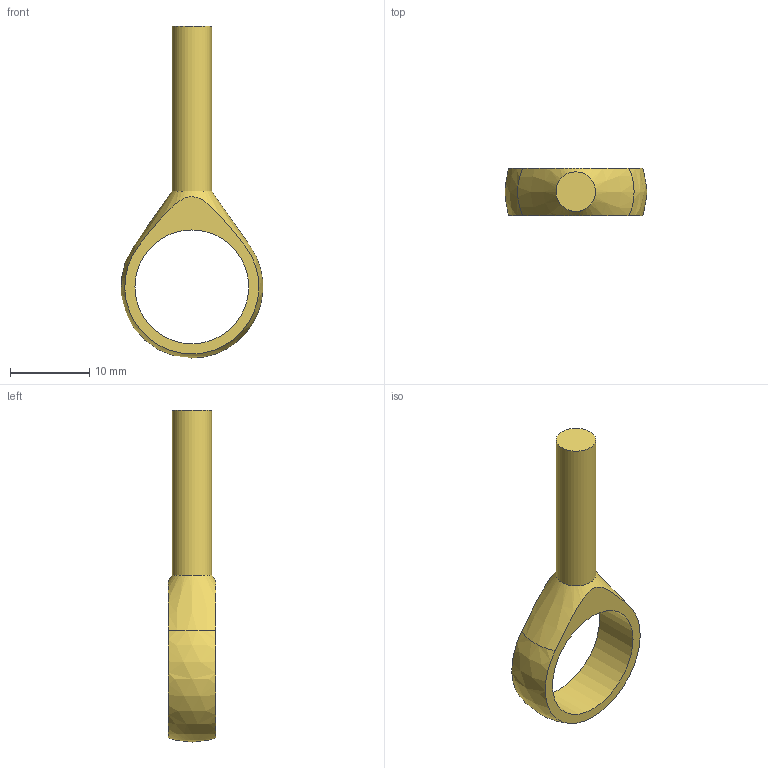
import cadquery as cq
import math

head_radius = 9.0
head_width = 6.0
bore_diameter = 14.4
stem_diameter = 5.0
neck_half_angle = math.radians(35)
stem_top_z = 33.0

stem_radius = stem_diameter / 2

tangent_x = head_radius * math.cos(neck_half_angle)
tangent_z = head_radius * math.sin(neck_half_angle)
neck_top_z = tangent_z + (tangent_x - stem_radius) / math.tan(neck_half_angle)


def revolved_body():
    """Sphere, tangent neck and stem as one profile turned about Z."""
    return (
        cq.Workplane("XZ")
        .moveTo(0, -head_radius)
        .threePointArc((head_radius, 0), (tangent_x, tangent_z))
        .lineTo(stem_radius, neck_top_z)
        .lineTo(stem_radius, stem_top_z)
        .lineTo(0, stem_top_z)
        .close()
        .revolve(360, (0, 0, 0), (0, 1, 0))
    )


def width_slab():
    """Block that trims the body to the two flat faces of the head."""
    slab_size = 2 * (head_radius + stem_top_z)
    return cq.Workplane("XY").box(slab_size, head_width, slab_size)


def bore():
    """Through hole of the eye, along Y."""
    return cq.Workplane("XZ").circle(bore_diameter / 2).extrude(head_width, both=True)


result = revolved_body().intersect(width_slab()).cut(bore())